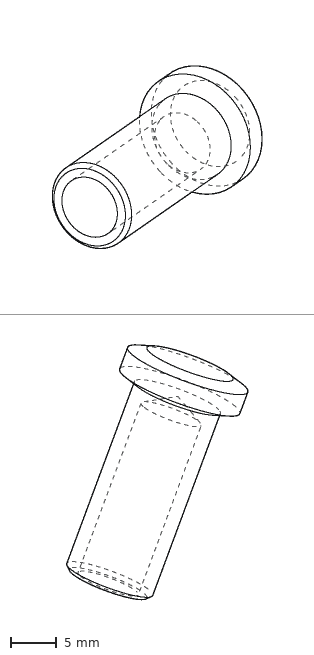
import cadquery as cq
import math

total_length = 26.0
head_diameter = 14.0
shank_diameter = 10.0
bore_diameter = 7.0
head_thickness = 4.0
head_bevel_angle = 20.0
tip_chamfer = 0.5
bore_depth = 20.02
drill_point_angle = 118.0

head_radius = head_diameter / 2
shank_radius = shank_diameter / 2
bore_radius = bore_diameter / 2
head_start = total_length - head_thickness
bevel_height = (head_radius - shank_radius) * math.tan(math.radians(head_bevel_angle))
cone_height = bore_radius / math.tan(math.radians(drill_point_angle / 2))

half_section = (
    cq.Workplane("XY")
    .moveTo(bore_radius, 0)
    .lineTo(shank_radius - tip_chamfer, 0)
    .lineTo(shank_radius, tip_chamfer)
    .lineTo(shank_radius, head_start)
    .lineTo(head_radius, head_start + bevel_height)
    .lineTo(head_radius, total_length - bevel_height)
    .lineTo(shank_radius, total_length)
    .lineTo(0, total_length)
    .lineTo(0, bore_depth + cone_height)
    .lineTo(bore_radius, bore_depth)
    .close()
)

result = half_section.revolve(360, (0, 0, 0), (0, 1, 0))